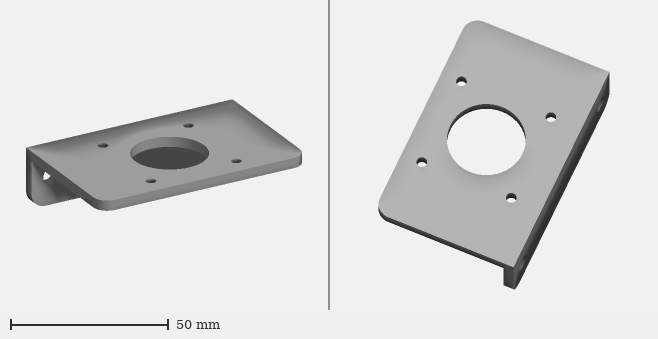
import cadquery as cq

depth = 48.5
length = 75.0
height = 20.0
thickness = 3.5
corner_radius = 5.0

opening_diameter = 25.0
opening_x = 26.0
bolt_spacing = 31.0
bolt_diameter = 3.4

mount_spacing = 61.0
mount_diameter = 5.5


def make_top_plate():
    """Horizontal plate with rounded free corners, a motor opening and bolt holes."""
    plate = (
        cq.Workplane("XY")
        .box(depth, length, thickness, centered=(False, True, False))
        .translate((0, 0, height - thickness))
        .edges("|Z and >X")
        .fillet(corner_radius)
    )
    return (
        plate.faces(">Z")
        .workplane(origin=(opening_x, 0, height))
        .hole(opening_diameter)
        .faces(">Z")
        .workplane(origin=(opening_x, 0, height))
        .rect(bolt_spacing, bolt_spacing, forConstruction=True)
        .vertices()
        .hole(bolt_diameter)
    )


def make_flange():
    """Vertical flange with rounded lower corners and two mounting holes."""
    flange = (
        cq.Workplane("XY")
        .box(thickness, length, height, centered=(False, True, False))
        .edges("|X and <Z")
        .fillet(corner_radius)
    )
    return (
        flange.faces("<X")
        .workplane(origin=(0, 0, height / 2))
        .pushPoints([(-mount_spacing / 2, 0), (mount_spacing / 2, 0)])
        .hole(mount_diameter)
    )


result = make_top_plate().union(make_flange()).clean()